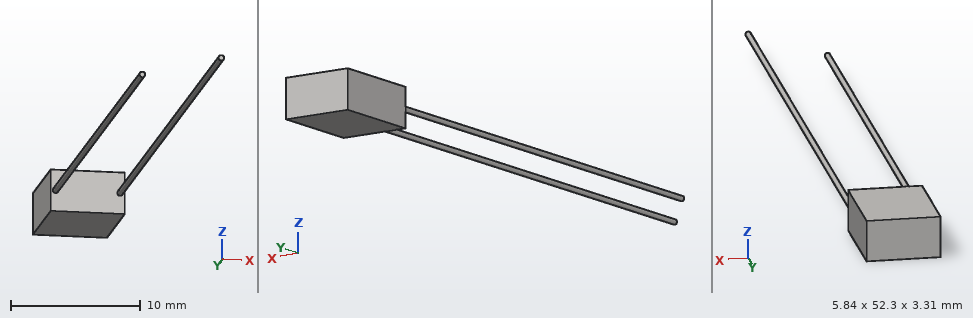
import cadquery as cq

case_width = 5.84
case_length = 7.88
case_height = 3.31

lead_diameter = 0.445
lead_pitch = 5.08
short_lead_length = 38.1
long_lead_length = 44.45


def make_case():
    """Block centred on X and Z, with its front face on the plane Y = 0."""
    return cq.Workplane("XY").box(case_width, case_length, case_height, centered=(True, False, True))


def make_lead(center_x, length):
    """Straight wire that butts against the front face of the case at mid-height."""
    return cq.Workplane("XZ").center(center_x, 0).circle(lead_diameter / 2).extrude(length)


case = make_case()

lead_placements = [
    (-lead_pitch / 2, short_lead_length),
    (lead_pitch / 2, long_lead_length),
]
leads = [make_lead(center_x, length) for center_x, length in lead_placements]

result = cq.Compound.makeCompound([case.val(), *[lead.val() for lead in leads]])